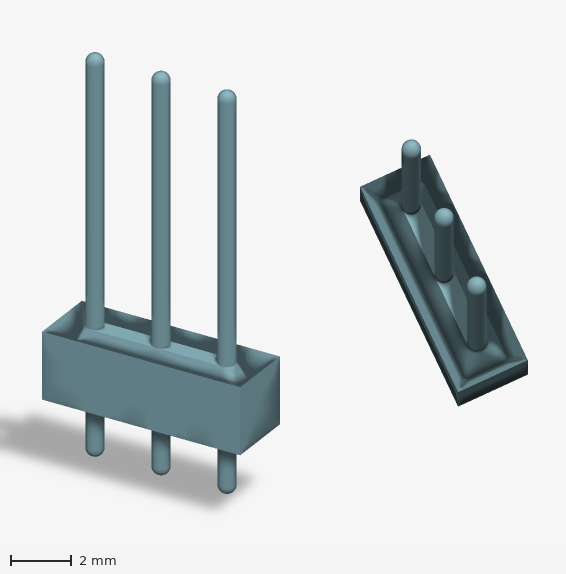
import cadquery as cq
import math

pitch = 2.54
pin_count = 3
pin_radius = 0.32
pin_length = 15.02
pin_below_housing = 2.32

housing_length = pin_count * pitch
housing_width = pitch
housing_height = pitch
half_length = housing_length / 2
half_width = housing_width / 2

end_pin_x = (pin_count - 1) * pitch / 2
pin_positions = [(index * pitch - end_pin_x, 0) for index in range(pin_count)]

slot_half_length = end_pin_x + pin_radius
slot_length = 2 * slot_half_length
slot_width = 2 * pin_radius

arc_offset = pin_radius * math.sqrt(0.5)


def flat_face(*points):
    return cq.Face.makeFromWires(cq.Wire.makePolygon(points, close=True))


def corner_face(x_side, y_side, rim_z, slot_z):
    """Quarter of an oblique cone, from a rounded slot end to its apex at a rim corner."""
    quarter_arc = cq.Edge.makeThreePointArc(
        cq.Vector(x_side * slot_half_length, 0, slot_z),
        cq.Vector(x_side * (end_pin_x + arc_offset), y_side * arc_offset, slot_z),
        cq.Vector(x_side * end_pin_x, y_side * pin_radius, slot_z),
    )
    apex = cq.Vertex.makeVertex(x_side * half_length, y_side * half_width, rim_z)
    return cq.occ_impl.shapes.loft(cq.Wire.assembleEdges([quarter_arc]), apex, ruled=True).Faces()[0]


def tapered_block(rim_z, slot_z):
    """Solid tapering from the rim rectangle at rim_z to the slot outline at slot_z."""
    rim = cq.Workplane("XY", origin=(0, 0, rim_z)).rect(housing_length, housing_width)
    slot = cq.Workplane("XY", origin=(0, 0, slot_z)).slot2D(slot_length, slot_width)
    faces = [cq.Face.makeFromWires(outline.val()) for outline in (rim, slot)]
    for side in (-1, 1):
        faces.append(
            flat_face(
                cq.Vector(-half_length, side * half_width, rim_z),
                cq.Vector(half_length, side * half_width, rim_z),
                cq.Vector(end_pin_x, side * pin_radius, slot_z),
                cq.Vector(-end_pin_x, side * pin_radius, slot_z),
            )
        )
        faces.append(
            flat_face(
                cq.Vector(side * half_length, -half_width, rim_z),
                cq.Vector(side * half_length, half_width, rim_z),
                cq.Vector(side * slot_half_length, 0, slot_z),
            )
        )
        faces.extend(corner_face(side, y_side, rim_z, slot_z) for y_side in (-1, 1))
    return cq.Workplane(cq.Solid.makeSolid(cq.Shell.makeShell(faces)).fix())


def make_housing():
    """Block with a V groove around the pin row and a through hole for each pin."""
    block = cq.Workplane("XY").box(
        housing_length, housing_width, housing_height, centered=(True, True, False)
    )
    funnel = tapered_block(rim_z=housing_height, slot_z=0)
    ridge = tapered_block(rim_z=0, slot_z=housing_height)
    pin_holes = cq.Workplane("XY").pushPoints(pin_positions).circle(pin_radius).extrude(housing_height)
    return block.cut(funnel.cut(ridge)).cut(pin_holes)


def make_pin(x, y):
    """Straight round pin with a hemispherical tip at each end."""
    bottom = -pin_below_housing
    top = bottom + pin_length
    straight_bottom = bottom + pin_radius
    straight_top = top - pin_radius
    return (
        cq.Workplane("XZ", origin=(x, y, 0))
        .moveTo(0, bottom)
        .threePointArc((arc_offset, straight_bottom - arc_offset), (pin_radius, straight_bottom))
        .lineTo(pin_radius, straight_top)
        .threePointArc((arc_offset, straight_top + arc_offset), (0, top))
        .close()
        .revolve(360, (0, 0, 0), (0, 1, 0))
    )


housing = make_housing()
pins = [make_pin(x, y).val() for x, y in pin_positions]

result = cq.Compound.makeCompound([housing.val(), *pins])